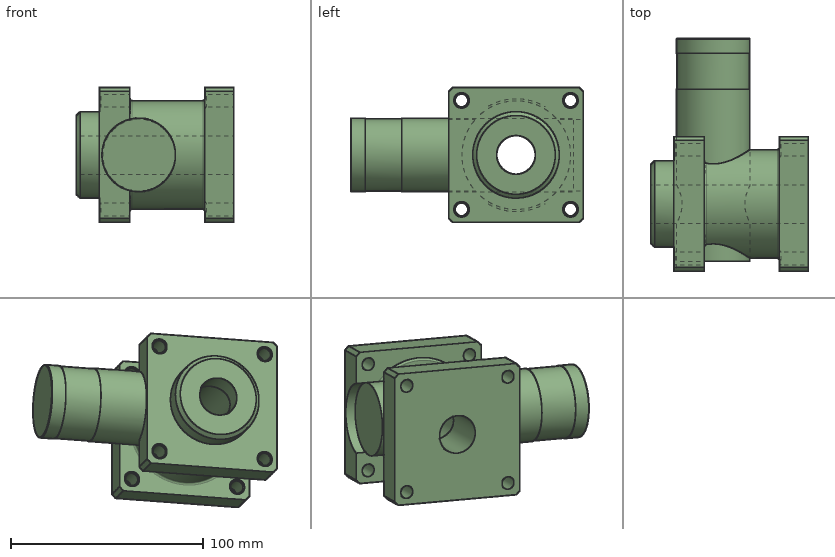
import cadquery as cq

flange_size = 70.0
flange_corner_chamfer = 2.0
front_flange_x = 12.1
front_flange_thickness = 15.9
rear_flange_thickness = 15.1
housing_length = 82.0
rear_flange_x = housing_length - rear_flange_thickness
barrel_diameter = 56.5
barrel_fillet = 1.1
spigot_diameter = 45.0
spigot_chamfer = 2.0
bore_diameter = 20.0

bolt_spacing = 56.6
bolt_hole_diameter = 6.7
bolt_mouth_diameter = 8.0
bolt_mouth_chamfer = (bolt_mouth_diameter - bolt_hole_diameter) / 2

cylinder_x = 32.5
cylinder_diameter = 38.2
cylinder_length = 115.8
cylinder_top_y = 121 - flange_size / 2
cylinder_bottom_y = cylinder_top_y - cylinder_length
collar_length = 7.6
relief_length = 18.9
relief_diameter = 37.8
cylinder_end_chamfer = 0.4


def rod_x(diameter, start_x, length):
    """Round rod along +X on the housing axis."""
    return cq.Workplane("YZ", origin=(start_x, 0, 0)).circle(diameter / 2).extrude(length)


def rod_y(diameter, start_y, length):
    """Round rod along +Y on the cross cylinder axis."""
    plane = cq.Plane(origin=(cylinder_x, start_y, 0), xDir=(1, 0, 0), normal=(0, 1, 0))
    return cq.Workplane(plane).circle(diameter / 2).extrude(length)


def make_flange(start_x, thickness):
    """Square flange with four bolt holes, countersunk on the -X face."""
    flange = (
        cq.Workplane("YZ", origin=(start_x, 0, 0))
        .rect(flange_size, flange_size)
        .extrude(thickness)
        .edges("|X")
        .chamfer(flange_corner_chamfer)
    )
    holes = (
        cq.Workplane("YZ", origin=(start_x, 0, 0))
        .rect(bolt_spacing, bolt_spacing, forConstruction=True)
        .vertices()
        .circle(bolt_hole_diameter / 2)
        .extrude(thickness)
    )
    return flange.cut(holes).faces("<X").edges("%CIRCLE").chamfer(bolt_mouth_chamfer)


def make_barrel():
    """Barrel between the flanges, flared by a concave fillet at each end."""
    start_x = front_flange_x + front_flange_thickness
    radius = barrel_diameter / 2
    flared_radius = radius + barrel_fillet
    mid_offset = barrel_fillet * (1 - 0.5 ** 0.5)
    profile = (
        cq.Workplane("XY")
        .moveTo(start_x, 0)
        .lineTo(start_x, flared_radius)
        .threePointArc((start_x + mid_offset, radius + mid_offset), (start_x + barrel_fillet, radius))
        .lineTo(rear_flange_x - barrel_fillet, radius)
        .threePointArc((rear_flange_x - mid_offset, radius + mid_offset), (rear_flange_x, flared_radius))
        .lineTo(rear_flange_x, 0)
        .close()
    )
    return profile.revolve(360, (0, 0, 0), (1, 0, 0))


def make_housing():
    """Spigot, two flanges and barrel, bored along X and across along Y."""
    spigot = rod_x(spigot_diameter, 0, front_flange_x).faces("<X").chamfer(spigot_chamfer)
    body = (
        make_barrel()
        .union(make_flange(front_flange_x, front_flange_thickness))
        .union(make_flange(rear_flange_x, rear_flange_thickness))
        .union(spigot)
    )
    cross_bore = rod_y(cylinder_diameter, -flange_size / 2, flange_size)
    return body.cut(rod_x(bore_diameter, 0, housing_length)).cut(cross_bore)


def make_cross_cylinder():
    """Cylinder with a chamfered collar, a shallow relief below it and the housing bore through it."""
    cylinder = rod_y(cylinder_diameter, cylinder_bottom_y, cylinder_length)
    cylinder = cylinder.faces(">Y").chamfer(cylinder_end_chamfer)
    relief_start_y = cylinder_top_y - collar_length - relief_length
    relief = rod_y(cylinder_diameter, relief_start_y, relief_length).cut(
        rod_y(relief_diameter, relief_start_y, relief_length)
    )
    return cylinder.cut(relief).cut(rod_x(bore_diameter, 0, housing_length))


housing = make_housing()
cross_cylinder = make_cross_cylinder()

result = cq.Compound.makeCompound([housing.val(), cross_cylinder.val()])